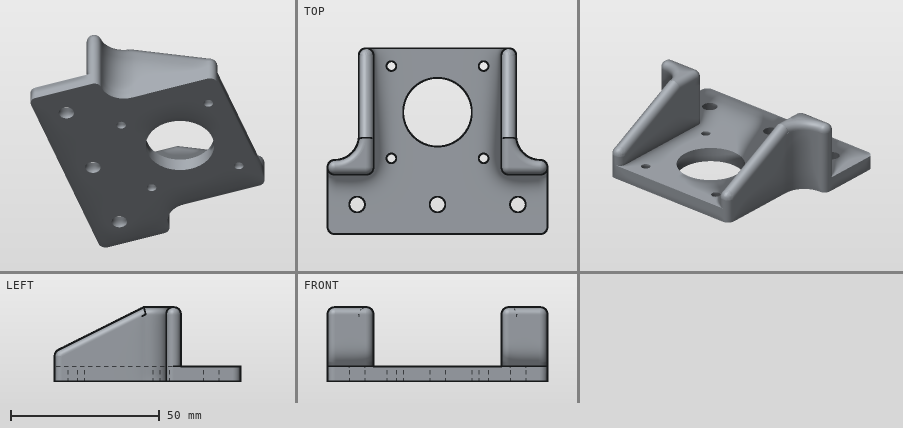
import cadquery as cq
import math

width = 74.0
depth = 62.5
height = 25.0
plate_thickness = 5.0

wall_thickness = 5.0
rib_outer_x = 26.5
rib_inner_x = rib_outer_x - wall_thickness
foot_front_y = 20.0
foot_rear_y = foot_front_y + wall_thickness

round_clearance = 0.01
edge_radius = wall_thickness / 2 - round_clearance
bend_radius = 8.0

slope_start_y = 32.5
rear_height = 10.0

bore_diameter = 23.0
bore_y = 41.0
screw_diameter = 3.2
screw_spacing = 31.0

mount_diameter = 5.2
mount_y = 10.0
mount_spacing = 27.0

arc_inset = 1 - math.sqrt(0.5)
bend_start_x = rib_outer_x + bend_radius
bend_end_y = foot_rear_y + bend_radius
bend_middle = (rib_outer_x + bend_radius * arc_inset, foot_rear_y + bend_radius * arc_inset)


slope_angle = math.atan2(height - rear_height, depth - slope_start_y)
mitre_foot_y = slope_start_y - edge_radius * math.tan(slope_angle / 2)
level_flank_z = height - edge_radius
rear_flank_z = rear_height - edge_radius / math.cos(slope_angle)


def round_uprights(body, corners):
    """Round the vertical edges of a body standing on Z = 0 at the given (x, y) corners."""
    for x, y in corners:
        nearest = cq.selectors.NearestToPointSelector((x, y, 0))
        body = body.edges("|Z").edges(nearest).fillet(edge_radius)
    return body


def make_half_plate():
    """Right half of the plate, wide at the front and narrow at the rear."""
    plate = (
        cq.Workplane("XY")
        .lineTo(width / 2, 0)
        .lineTo(width / 2, foot_rear_y)
        .lineTo(bend_start_x, foot_rear_y)
        .threePointArc(bend_middle, (rib_outer_x, bend_end_y))
        .lineTo(rib_outer_x, depth)
        .lineTo(0, depth)
        .close()
        .extrude(plate_thickness)
    )
    return round_uprights(plate, [(width / 2, 0), (width / 2, foot_rear_y), (rib_outer_x, depth)])


def make_level_wall():
    """Right rib and foot at full height, with all upright and top edges rounded."""
    wall = (
        cq.Workplane("XY")
        .moveTo(rib_inner_x, foot_front_y)
        .lineTo(width / 2, foot_front_y)
        .lineTo(width / 2, foot_rear_y)
        .lineTo(bend_start_x, foot_rear_y)
        .threePointArc(bend_middle, (rib_outer_x, bend_end_y))
        .lineTo(rib_outer_x, depth)
        .lineTo(rib_inner_x, depth)
        .close()
        .extrude(height)
    )
    corners = [
        (rib_inner_x, foot_front_y),
        (width / 2, foot_front_y),
        (width / 2, foot_rear_y),
        (rib_outer_x, depth),
        (rib_inner_x, depth),
    ]
    return round_uprights(wall, corners).faces(">Z").edges().fillet(edge_radius)


def make_sloped_rib():
    """Straight rib whose rounded top follows the slope all the way to the foot's front."""
    front_height = rear_height + (depth - foot_front_y) * math.tan(slope_angle)
    side_profile = [
        (foot_front_y, 0),
        (depth, 0),
        (depth, rear_height),
        (foot_front_y, front_height),
    ]
    rib = (
        cq.Workplane("YZ", origin=(rib_inner_x, 0, 0))
        .polyline(side_profile)
        .close()
        .extrude(wall_thickness)
    )
    rib = round_uprights(rib, [(rib_outer_x, depth), (rib_inner_x, depth)])
    return rib.faces(">Z").edges("not <Y").fillet(edge_radius)


def make_wall():
    """Right side wall: the level wall with its rear top replaced by the sloped one."""
    slope_zone = (
        cq.Workplane("YZ")
        .polyline(
            [
                (slope_start_y, height),
                (mitre_foot_y, level_flank_z),
                (depth, rear_flank_z),
                (depth, height),
            ]
        )
        .close()
        .extrude(width / 2)
    )
    sloped_top = make_sloped_rib().intersect(slope_zone)
    return make_level_wall().cut(slope_zone).union(sloped_top)


def make_holes():
    """Cutters for the bore, its four screws and the three mounting holes."""
    bore = cq.Workplane("XY").center(0, bore_y).circle(bore_diameter / 2).extrude(plate_thickness)
    screws = (
        cq.Workplane("XY")
        .center(0, bore_y)
        .rect(screw_spacing, screw_spacing, forConstruction=True)
        .vertices()
        .circle(screw_diameter / 2)
        .extrude(plate_thickness)
    )
    mounts = (
        cq.Workplane("XY")
        .center(0, mount_y)
        .rarray(mount_spacing, 0.75, 3, 1)
        .circle(mount_diameter / 2)
        .extrude(plate_thickness)
    )
    return bore.union(screws).union(mounts)


half = make_half_plate().union(make_wall())
result = half.union(half.mirror("YZ")).cut(make_holes()).clean()